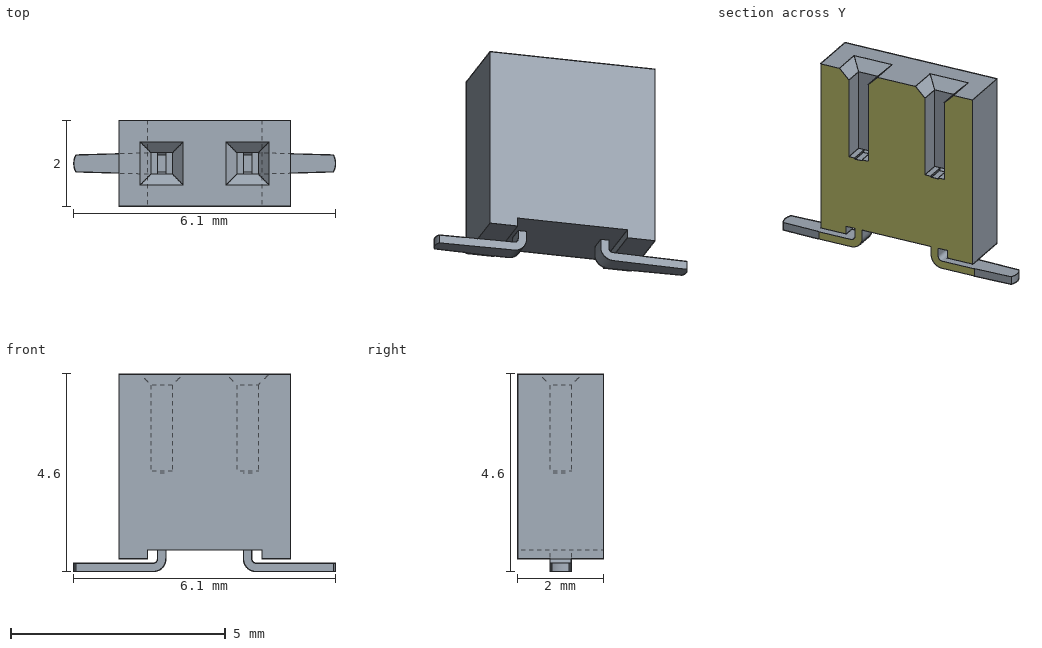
import cadquery as cq
import math

pitch = 2.0
contact_count = 2
housing_length = pitch * contact_count
housing_width = 2.0
housing_height = 4.3
foot_length = 0.67
foot_height = 0.2

funnel_size = 1.0
pocket_size = 0.5
funnel_depth = (funnel_size - pocket_size) / 2
pocket_depth = 2.0
pocket_floor = housing_height - funnel_depth - pocket_depth

strip_thickness = 0.2
strip_width = 0.5
tip_width = 0.4
slot_floor_width = 0.4
slot_depth = (strip_width - slot_floor_width) / 2
inner_bend_radius = 0.1
outer_bend_radius = inner_bend_radius + strip_thickness
tail_bottom = -0.3
tail_top = tail_bottom + strip_thickness
tail_reach = 3.05
tip_bulge = 0.05
root_overlap = 0.1

first_contact_x = -pitch * (contact_count - 1) / 2
contact_positions = [first_contact_x + i * pitch for i in range(contact_count)]


def make_housing():
    """Block with the underside relieved between two end feet."""
    block = cq.Workplane("XY").box(
        housing_length, housing_width, housing_height, centered=(True, True, False)
    )
    relief = cq.Workplane("XY").box(
        housing_length - 2 * foot_length, housing_width, foot_height, centered=(True, True, False)
    )
    return block.cut(relief)


def make_socket(x):
    """Funnel, pocket and tapered floor slot to be cut from the housing."""
    funnel = (
        cq.Workplane("XY", origin=(x, 0, housing_height - funnel_depth))
        .rect(pocket_size, pocket_size)
        .workplane(offset=funnel_depth)
        .rect(funnel_size, funnel_size)
        .loft(ruled=True)
    )
    pocket = (
        cq.Workplane("XY", origin=(x, 0, pocket_floor))
        .rect(pocket_size, pocket_size)
        .extrude(funnel_depth + pocket_depth)
    )
    slot = (
        cq.Workplane("XY", origin=(x, 0, pocket_floor - slot_depth))
        .rect(strip_thickness, slot_floor_width)
        .workplane(offset=slot_depth)
        .rect(strip_thickness, strip_width)
        .loft(ruled=True)
    )
    return funnel.union(pocket).union(slot)


def make_left_contact():
    """Strip leaving the underside and bent outward to -X, with a tapered, rounded tail."""
    outer_x = first_contact_x - strip_thickness / 2
    inner_x = first_contact_x + strip_thickness / 2
    bend_end_x = outer_x - inner_bend_radius
    bend_top = tail_top + inner_bend_radius
    root_top = foot_height + root_overlap
    diagonal = math.sqrt(0.5)

    inner_bend_middle = (
        bend_end_x + inner_bend_radius * diagonal,
        bend_top - inner_bend_radius * diagonal,
    )
    outer_bend_middle = (
        bend_end_x + outer_bend_radius * diagonal,
        bend_top - outer_bend_radius * diagonal,
    )
    bend = (
        cq.Workplane("XZ")
        .moveTo(outer_x, root_top)
        .lineTo(outer_x, bend_top)
        .threePointArc(inner_bend_middle, (bend_end_x, tail_top))
        .lineTo(bend_end_x, tail_bottom)
        .threePointArc(outer_bend_middle, (inner_x, bend_top))
        .lineTo(inner_x, root_top)
        .close()
        .extrude(strip_width / 2, both=True)
    )

    tip_corner_x = -tail_reach + tip_bulge
    tail = (
        cq.Workplane("XY", origin=(0, 0, tail_bottom))
        .moveTo(bend_end_x, strip_width / 2)
        .lineTo(tip_corner_x, tip_width / 2)
        .threePointArc((-tail_reach, 0), (tip_corner_x, -tip_width / 2))
        .lineTo(bend_end_x, -strip_width / 2)
        .close()
        .extrude(strip_thickness)
    )
    return bend.union(tail)


result = make_housing()
for contact_x in contact_positions:
    result = result.cut(make_socket(contact_x))

left_contact = make_left_contact()
result = result.union(left_contact).union(left_contact.mirror("YZ"))